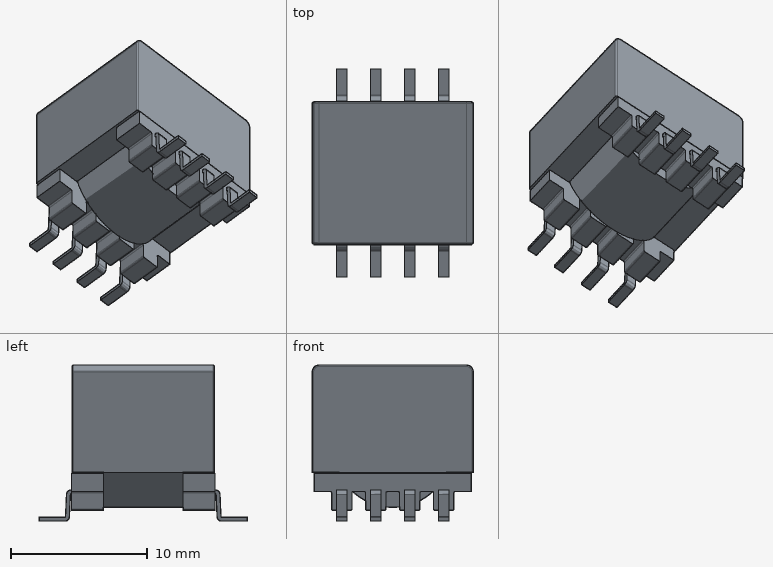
import cadquery as cq

core_length = 11.8
core_depth = 10.4
overall_height = 11.43
overall_depth = 15.24

core_bottom = 3.57
top_edge_radius = 0.5
face_edge_radius = 0.1

base_length = 11.5
base_depth = 10.5
block_gap = 5.82
core_gap = 0.06
block_top = core_bottom - core_gap
block_bottom = 2.16
block_depth = (base_depth - block_gap) / 2

leg_width = 1.5
leg_bottom = 0.8
leg_corner_radius = 0.1

coil_diameter = 8.6
coil_bottom = 1.0
coil_centre_z = coil_bottom + coil_diameter / 2

pin_count = 4
pin_pitch = 2.48
pin_width = 0.8
pin_thickness = 0.29
pin_top = 2.29
pin_shoulder_y = 5.61
pin_ankle_y = 5.7
bend_inner_radius = 0.05
bend_outer_radius = bend_inner_radius + pin_thickness

pin_positions = [(i - (pin_count - 1) / 2) * pin_pitch for i in range(pin_count)]


def make_coil():
    """Full cylinder along Y that spans the gap between the blocks."""
    return (
        cq.Workplane("XZ", origin=(0, block_gap / 2, coil_centre_z))
        .circle(coil_diameter / 2)
        .extrude(block_gap)
    )


def make_core():
    """Rounded box with a cylindrical cavity that holds the coil."""
    core = (
        cq.Workplane("XY", origin=(0, 0, core_bottom))
        .box(core_length, core_depth, overall_height - core_bottom, centered=(True, True, False))
        .edges("|Y and >Z")
        .fillet(top_edge_radius)
    )
    core = core.faces("<Y or >Y").edges("not <Z").fillet(face_edge_radius)
    return core.cut(make_coil())


def make_front_block():
    """Block with a row of legs, rounded where the legs start and end."""
    front_y = -base_depth / 2
    block = (
        cq.Workplane("XY", origin=(0, front_y, block_bottom))
        .box(base_length, block_depth, block_top - block_bottom, centered=(True, False, False))
    )
    for x in pin_positions:
        leg = (
            cq.Workplane("XY", origin=(x, front_y, leg_bottom))
            .box(leg_width, block_depth, block_bottom - leg_bottom, centered=(True, False, False))
        )
        block = block.union(leg)
    outer_corner_x = base_length / 2 - leg_corner_radius
    leg_corners = cq.selectors.BoxSelector(
        (-outer_corner_x, -base_depth, 0),
        (outer_corner_x, base_depth, block_bottom + leg_corner_radius),
    )
    return block.edges("|Y").edges(leg_corners).fillet(leg_corner_radius)


def make_rear_pin(x):
    """Gull-wing pin: short stub, slightly leaning shank and flat foot."""
    stub_y = base_depth / 2
    tip_y = overall_depth / 2
    pin = (
        cq.Workplane("YZ", origin=(x - pin_width / 2, 0, 0))
        .polyline([
            (stub_y, pin_top),
            (pin_shoulder_y, pin_top),
            (pin_ankle_y, pin_thickness),
            (tip_y, pin_thickness),
            (tip_y, 0),
            (pin_ankle_y - pin_thickness, 0),
            (pin_shoulder_y - pin_thickness, pin_top - pin_thickness),
            (stub_y, pin_top - pin_thickness),
        ])
        .close()
        .extrude(pin_width)
    )

    bends = [
        (pin_shoulder_y, pin_top, bend_outer_radius),
        (pin_shoulder_y - pin_thickness, pin_top - pin_thickness, bend_inner_radius),
        (pin_ankle_y - pin_thickness, 0, bend_outer_radius),
        (pin_ankle_y, pin_thickness, bend_inner_radius),
    ]
    for y, z, radius in bends:
        bend_edge = cq.selectors.NearestToPointSelector((x, y, z))
        pin = pin.edges(bend_edge).fillet(radius)
    return pin


def make_bobbin():
    """Coil, both blocks and all pins as one solid."""
    front_block = make_front_block()
    bobbin = make_coil().union(front_block).union(front_block.mirror("XZ"))
    for x in pin_positions:
        rear_pin = make_rear_pin(x)
        bobbin = bobbin.union(rear_pin).union(rear_pin.mirror("XZ"))
    return bobbin


core = make_core()
bobbin = make_bobbin()

result = cq.Compound.makeCompound([core.val(), bobbin.val()])